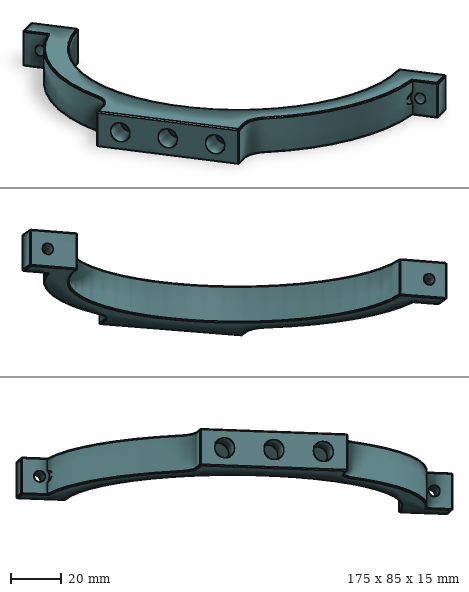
import cadquery as cq
import math

THICKNESS = 15.0
OVERALL_WIDTH = 175.0
OVERALL_DEPTH = 85.0

INNER_RADIUS = 67.5
OUTER_RADIUS = 77.5

EAR_DEPTH = 10.0
EAR_HOLE_DIAMETER = 4.5
EAR_HOLE_X = 80.0
HEAD_CLEARANCE_DIAMETER = 8.0

FOOT_WIDTH = 60.0
FOOT_FILLET = 10.0
FOOT_HOLE_DIAMETER = 8.0
FOOT_HOLE_DEPTH = 12.0
FOOT_HOLE_SPACING = 20.0
FOOT_HOLE_COUNT = 3

EDGE_CHAMFER = 0.5
FOOT_BEVEL_ANGLE = 60.0

MID_HEIGHT = THICKNESS / 2


def point_on_circle(radius, angle, center=(0.0, 0.0)):
    return (center[0] + radius * math.cos(angle), center[1] + radius * math.sin(angle))


def mirrored(point):
    return (-point[0], point[1])


def bracket_body():
    """Extruded outline: half ring, two ears and a foot blended into the ring."""
    half_width = OVERALL_WIDTH / 2
    half_foot = FOOT_WIDTH / 2

    ear_root = (math.sqrt(OUTER_RADIUS**2 - EAR_DEPTH**2), -EAR_DEPTH)
    ear_angle = math.atan2(ear_root[1], ear_root[0])

    blend_x = half_foot + FOOT_FILLET
    blend_center = (blend_x, -math.sqrt((OUTER_RADIUS + FOOT_FILLET) ** 2 - blend_x**2))
    blend_angle = math.atan2(blend_center[1], blend_center[0])
    ring_tangent = point_on_circle(OUTER_RADIUS, blend_angle)
    foot_tangent = (half_foot, blend_center[1])
    blend_middle = point_on_circle(FOOT_FILLET, math.pi + blend_angle / 2, blend_center)
    ring_middle = point_on_circle(OUTER_RADIUS, (ear_angle + blend_angle) / 2)

    outline = (
        cq.Workplane("XY")
        .moveTo(INNER_RADIUS, 0)
        .lineTo(half_width, 0)
        .lineTo(half_width, -EAR_DEPTH)
        .lineTo(*ear_root)
        .threePointArc(ring_middle, ring_tangent)
        .threePointArc(blend_middle, foot_tangent)
        .lineTo(half_foot, -OVERALL_DEPTH)
        .lineTo(-half_foot, -OVERALL_DEPTH)
        .lineTo(*mirrored(foot_tangent))
        .threePointArc(mirrored(blend_middle), mirrored(ring_tangent))
        .threePointArc(mirrored(ring_middle), mirrored(ear_root))
        .lineTo(-half_width, -EAR_DEPTH)
        .lineTo(-half_width, 0)
        .lineTo(-INNER_RADIUS, 0)
        .threePointArc((0, -INNER_RADIUS), (INNER_RADIUS, 0))
        .close()
    )
    return outline.extrude(THICKNESS)


def chamfer_edges(body):
    """Chamfer the outward corners of the ears and foot, then both flat faces all round."""
    body = body.edges("|Z and (>Y or <Y or <X or >X)").chamfer(EDGE_CHAMFER)
    return body.faces("<Z or >Z").edges().chamfer(EDGE_CHAMFER)


def bevel_foot_edges(body):
    """Lengthen, in Y, the chamfers along the top and bottom edges of the foot face."""
    bevel_run = EDGE_CHAMFER * math.tan(math.radians(FOOT_BEVEL_ANGLE))
    foot_y = -OVERALL_DEPTH
    for edge_z, inward in ((0.0, 1), (THICKNESS, -1)):
        wedge = (
            cq.Workplane("YZ")
            .moveTo(foot_y, edge_z)
            .lineTo(foot_y + bevel_run, edge_z)
            .lineTo(foot_y, edge_z + inward * EDGE_CHAMFER)
            .close()
            .extrude(FOOT_WIDTH / 2, both=True)
        )
        body = body.cut(wedge)
    return body


def hole_along_y(diameter, x, start_y, length):
    """Cylinder at mid height that starts at start_y and runs toward +Y."""
    axis_start = cq.Vector(x, start_y, MID_HEIGHT)
    return cq.Workplane(cq.Solid.makeCylinder(diameter / 2, length, axis_start, cq.Vector(0, 1, 0)))


def cut_ear_holes(body):
    """Screw holes through the ears, with head clearance cut into the ring below them."""
    for x in (-EAR_HOLE_X, EAR_HOLE_X):
        body = body.cut(hole_along_y(EAR_HOLE_DIAMETER, x, -EAR_DEPTH, EAR_DEPTH))
        clearance_length = OVERALL_DEPTH - EAR_DEPTH
        body = body.cut(hole_along_y(HEAD_CLEARANCE_DIAMETER, x, -OVERALL_DEPTH, clearance_length))
    return body


def cut_foot_holes(body):
    """Row of blind holes in the flat face of the foot."""
    for index in range(FOOT_HOLE_COUNT):
        x = (index - (FOOT_HOLE_COUNT - 1) / 2) * FOOT_HOLE_SPACING
        body = body.cut(hole_along_y(FOOT_HOLE_DIAMETER, x, -OVERALL_DEPTH, FOOT_HOLE_DEPTH))
    return body


body = bracket_body()
body = chamfer_edges(body)
body = bevel_foot_edges(body)
body = cut_ear_holes(body)
body = cut_foot_holes(body)
result = body.solids()